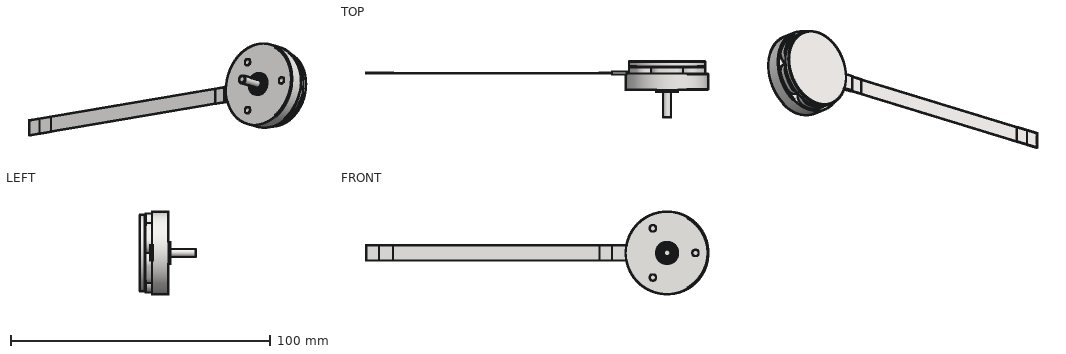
import cadquery as cq
import math


total_length = 132.0

housing_radius = 16.0
housing_depth = 6.3
rim_chamfer = 0.4
rim_chamfer_span = 120.0

hole_count = 3
hole_circle_radius = 11.0
hole_diameter = 2.5
hole_depth = 3.3

shaft_diameter = 3.2
shaft_reach = 10.7
shaft_chamfer = 0.3
bearing_radius = 4.2
bearing_height = 0.8
outer_ring_bore = 3.3
shield_bore = 2.8
inner_ring_radius = 2.4
gap_depth = 0.5
ring_bevel = 0.3

pole_count = 6
pole_radius = 15.3
pole_half_angle = 10.0
valley_radius = 12.4
coil_bulge = 1.2
coil_depth = 2.4

hub_radius = 11.9
cap_gap = 0.4
cap_radius = 14.8
cap_depth = 2.0
cap_chamfer = 0.3

cable_width = 6.0
cable_thickness = 0.1
backing_thickness = 0.3
tip_backing_length = 10.3
contact_length = 4.9
contact_thickness = 0.07
clamp_length = 6.0
clamp_overhang = 0.4
root_backing_length = 4.9

coil_rear = housing_depth + coil_depth
cap_front = coil_rear + cap_gap
cable_tip = housing_radius - total_length
clamp_end = -15.3
clamp_start = clamp_end - clamp_length
cable_rear = housing_depth + cable_thickness
backing_rear = cable_rear + backing_thickness


def disc(radius, y_start, depth):
    """Cylinder on the motor axis, growing toward +Y."""
    return cq.Workplane("XZ", origin=(0, y_start, 0)).circle(radius).extrude(-depth)


def polar(radius, degrees):
    """Point in the XZ plane at a given radius and angle from +X."""
    angle = math.radians(degrees)
    return radius * math.cos(angle), radius * math.sin(angle)


def bulged_middle(start, end):
    """Middle of an arc between two points, bowed away from the axis."""
    middle_x = (start[0] + end[0]) / 2
    middle_z = (start[1] + end[1]) / 2
    chord_x = end[0] - start[0]
    chord_z = end[1] - start[1]
    chord = math.hypot(chord_x, chord_z)
    return middle_x + coil_bulge * chord_z / chord, middle_z - coil_bulge * chord_x / chord


def make_housing():
    plain = disc(housing_radius, 0, housing_depth)
    chamfered = plain.edges().chamfer(rim_chamfer)
    reach = 2 * housing_radius
    half_span = rim_chamfer_span / 2
    sector = (
        cq.Workplane("XZ")
        .polyline([(0, 0), polar(reach, -half_span), (reach, 0), polar(reach, half_span)])
        .close()
        .extrude(-housing_depth)
    )
    housing = plain.cut(sector).union(chamfered.intersect(sector))
    hole_places = [polar(hole_circle_radius, 360 / hole_count * i) for i in range(hole_count)]
    holes = cq.Workplane("XZ").pushPoints(hole_places).circle(hole_diameter / 2).extrude(-hole_depth)
    return housing.cut(holes)


def make_bearing():
    """Bevelled outer and inner rings, with a sunk shield and a gap between them."""
    front = -bearing_height
    gap_floor = front + gap_depth
    shield_face = front + ring_bevel
    profile = [
        (0, 0),
        (bearing_radius, 0),
        (bearing_radius, front),
        (outer_ring_bore + ring_bevel, front),
        (outer_ring_bore, shield_face),
        (shield_bore, shield_face),
        (shield_bore, gap_floor),
        (inner_ring_radius, gap_floor),
        (inner_ring_radius, shield_face),
        (inner_ring_radius - ring_bevel, front),
        (0, front),
    ]
    return cq.Workplane("XY").polyline(profile).close().revolve(360, (0, 0, 0), (0, 1, 0))


def make_shaft():
    shaft = disc(shaft_diameter / 2, -shaft_reach, shaft_reach + housing_depth / 2)
    return shaft.faces("<Y").chamfer(shaft_chamfer)


def make_stator():
    """Six pole faces, each flanked by rounded coil sides that meet in valleys."""
    pitch = 360 / pole_count
    outline = cq.Workplane("XZ", origin=(0, housing_depth, 0)).moveTo(valley_radius, 0)
    for i in range(pole_count):
        valley = polar(valley_radius, pitch * i)
        pole_angle = pitch * (i + 0.5)
        pole_start = polar(pole_radius, pole_angle - pole_half_angle)
        pole_middle = polar(pole_radius, pole_angle)
        pole_end = polar(pole_radius, pole_angle + pole_half_angle)
        next_valley = polar(valley_radius, pitch * (i + 1))
        outline = outline.threePointArc(bulged_middle(valley, pole_start), pole_start)
        outline = outline.threePointArc(pole_middle, pole_end)
        outline = outline.threePointArc(bulged_middle(pole_end, next_valley), next_valley)
    return outline.close().extrude(-coil_depth)


def make_cap():
    cap = disc(cap_radius, cap_front, cap_depth).faces(">Y").chamfer(cap_chamfer)
    hub = disc(hub_radius, housing_depth, cap_front - housing_depth)
    return cap.union(hub)


def strip(x_start, x_end, y_start, y_end):
    """Flat slab of the cable's width, centred on Z = 0."""
    size = (x_end - x_start, y_end - y_start, cable_width)
    corner = (x_start, y_start, -cable_width / 2)
    return cq.Workplane("XY").box(*size, centered=False).translate(corner)


def make_cable():
    cable = strip(cable_tip, clamp_end, housing_depth, cable_rear)
    contacts = strip(cable_tip, cable_tip + contact_length, housing_depth - contact_thickness, cable_rear)
    tip_backing = strip(cable_tip, cable_tip + tip_backing_length, housing_depth, backing_rear)
    root_backing = strip(clamp_start - root_backing_length, clamp_end, housing_depth, backing_rear)
    clamp = strip(clamp_start, clamp_end, housing_depth - clamp_overhang, backing_rear + clamp_overhang)
    return cable.union(contacts).union(tip_backing).union(root_backing).union(clamp)


result = (
    make_housing()
    .union(make_bearing())
    .union(make_shaft())
    .union(make_stator())
    .union(make_cap())
    .union(make_cable())
)